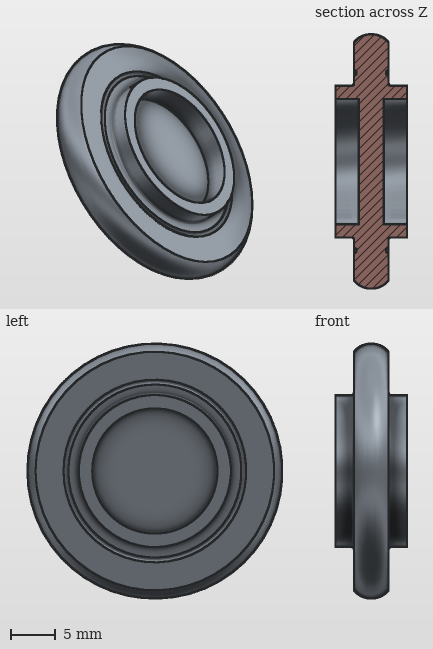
import cadquery as cq

rim_diameter = 28.5
face_diameter = 26.65
disc_width = 3.88
hub_diameter = 17.0
overall_width = 8.0
root_fillet = 0.25
recess_diameter = 14.0
recess_depth = 2.6
groove_inner_diameter = 19.32
groove_outer_diameter = 20.4

half_disc = disc_width / 2
half_width = overall_width / 2


def crowned_disc():
    """Disc whose rim is a convex arc from one side face to the other."""
    profile = (
        cq.Workplane("XY")
        .moveTo(-half_disc, 0)
        .lineTo(-half_disc, face_diameter / 2)
        .threePointArc((0, rim_diameter / 2), (half_disc, face_diameter / 2))
        .lineTo(half_disc, 0)
        .close()
    )
    return profile.revolve(360, (0, 0, 0), (1, 0, 0))


def x_cylinder(diameter, start, length):
    """Cylinder on the X axis, running toward +X from start."""
    return cq.Workplane("YZ", origin=(start, 0, 0)).circle(diameter / 2).extrude(length)


def ring_groove_cutter(side):
    """Torus centred on one side face, leaving a half-round groove there."""
    groove_radius = (groove_outer_diameter - groove_inner_diameter) / 4
    centre_radius = (groove_outer_diameter + groove_inner_diameter) / 4
    section = cq.Workplane("XY").center(side * half_disc, centre_radius).circle(groove_radius)
    return section.revolve(360, (0, -centre_radius, 0), (1, -centre_radius, 0))


result = crowned_disc().union(x_cylinder(hub_diameter, -half_width, overall_width))

edge_margin = 0.03
for side in (-1, 1):
    root_radius = hub_diameter / 2 + edge_margin
    root_box = cq.selectors.BoxSelector(
        (side * half_disc - edge_margin, -root_radius, -root_radius),
        (side * half_disc + edge_margin, root_radius, root_radius),
        boundingbox=True,
    )
    result = result.edges(root_box).fillet(root_fillet)

for side in (-1, 1):
    recess_start = -half_width if side < 0 else half_width - recess_depth
    result = result.cut(x_cylinder(recess_diameter, recess_start, recess_depth))
    result = result.cut(ring_groove_cutter(side))